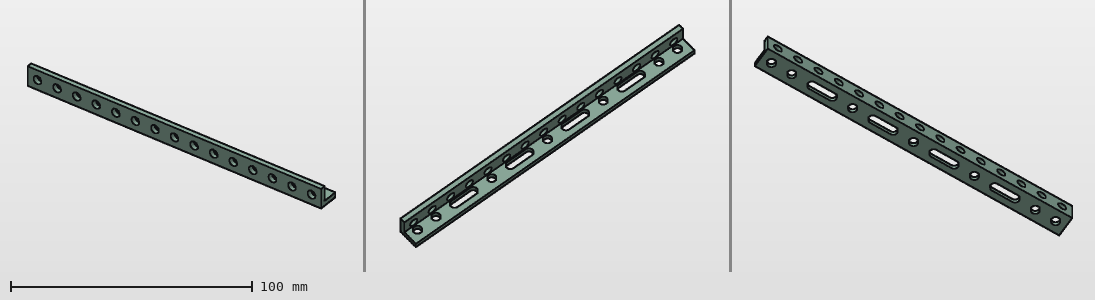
import cadquery as cq

length = 150.0
hole_count = 15
pitch = length / hole_count
leg = pitch
thickness = 2.5
hole_diameter = 3.9
hole_offset = leg / 2

round_hole_positions = [0, 1, 4, 7, 10, 13, 14]
slot_start_positions = [2, 5, 8, 11]


def station(position):
    """X coordinate of a hole position."""
    return (position + 0.5) * pitch - length / 2


def make_angle():
    """L-shaped bar with its outer corner on the X axis."""
    base = cq.Workplane("XY").box(length, leg, thickness, centered=(True, False, False))
    wall = cq.Workplane("XY").box(length, thickness, leg, centered=(True, False, False))
    return base.union(wall)


def wall_holes():
    """Evenly spaced round holes through the upright leg."""
    points = [(station(i), hole_offset) for i in range(hole_count)]
    return cq.Workplane("XZ").pushPoints(points).circle(hole_diameter / 2).extrude(-thickness)


def base_holes():
    """Round holes through the flat leg."""
    points = [(station(i), hole_offset) for i in round_hole_positions]
    return cq.Workplane("XY").pushPoints(points).circle(hole_diameter / 2).extrude(thickness)


def base_slots():
    """Slots through the flat leg, each joining two neighbouring positions."""
    points = [(station(i + 0.5), hole_offset) for i in slot_start_positions]
    slot_length = pitch + hole_diameter
    return cq.Workplane("XY").pushPoints(points).slot2D(slot_length, hole_diameter).extrude(thickness)


result = make_angle().cut(wall_holes()).cut(base_holes()).cut(base_slots())